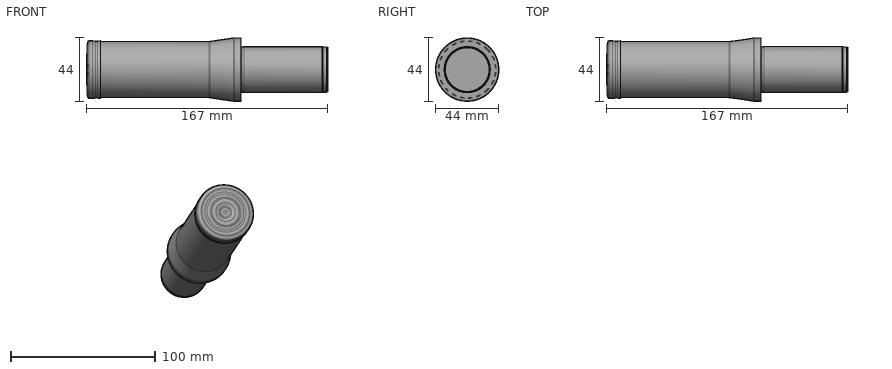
import cadquery as cq
import math

total_length = 167.0
shank_length = 60.0
flange_back = total_length - shank_length

cutting_radius = 40.0 / 2
head_length = 9.6
rim_setback = 0.25
bevel_inner_radius = 17.2
bevel_angle = math.radians(15.5)
corner_radius = 0.9

waist_depth = 0.2
waist_radius = cutting_radius - waist_depth
waist_start = 4.1
waist_floor_start = 6.1
waist_floor_end = 7.6

groove_outer_radius = 16.6
groove_floor_outer_radius = 14.4
groove_floor_outer_depth = 0.43
groove_floor_inner_radius = 12.9
groove_floor_inner_depth = 0.39
groove_mid_radius = (groove_floor_outer_radius + groove_floor_inner_radius) / 2
groove_mid_depth = 0.45
groove_inner_radius = 10.8
groove_inner_depth = 0.11

face_outer_radius = 9.65
face_edge_bevel_width = 0.3
face_edge_bevel_depth = 0.07
recess_mouth_radius = 6.8
recess_cone_radius = 4.4
recess_floor_radius = 3.4
recess_centre_radius = 1.15
recess_cone_depth = 0.67
recess_floor_depth = 0.81
recess_centre_depth = 0.95

neck_radius = 39.0 / 2
flange_radius = 44.0 / 2
flare_start = 85.0
flare_end = 102.0
flare_blend_radius = 5.0
flange_edge_radius = 0.5

shank_radius = 32.0 / 2
relief_radius = 31.5 / 2
relief_neck_length = 0.7
relief_length = 1.8
tail_band_length = 4.0
tail_band_start = total_length - tail_band_length
tail_band_taper = 0.7
shank_chamfer_length = 0.9
shank_chamfer_depth = 0.6


def revolve_about_x(profile):
    return profile.close().revolve(360, (0, 0, 0), (1, 0, 0))


def make_cutting_head():
    corner_centre_radius = cutting_radius - corner_radius
    bevel_outer_radius = corner_centre_radius + corner_radius * math.sin(bevel_angle)
    bevel_end = rim_setback + (bevel_outer_radius - bevel_inner_radius) * math.tan(bevel_angle)
    corner_end = bevel_end + corner_radius * math.cos(bevel_angle)
    corner_mid_angle = (bevel_angle + math.pi / 2) / 2
    corner_mid = (
        corner_end - corner_radius * math.cos(corner_mid_angle),
        corner_centre_radius + corner_radius * math.sin(corner_mid_angle),
    )
    profile = (
        cq.Workplane("XZ")
        .moveTo(head_length, 0)
        .lineTo(recess_centre_depth, 0)
        .lineTo(recess_centre_depth, recess_centre_radius)
        .lineTo(recess_floor_depth, recess_floor_radius)
        .lineTo(recess_cone_depth, recess_cone_radius)
        .lineTo(0, recess_mouth_radius)
        .lineTo(0, face_outer_radius)
        .lineTo(face_edge_bevel_depth, face_outer_radius + face_edge_bevel_width)
        .lineTo(groove_inner_depth, groove_inner_radius)
        .lineTo(groove_floor_inner_depth, groove_floor_inner_radius)
        .threePointArc(
            (groove_mid_depth, groove_mid_radius),
            (groove_floor_outer_depth, groove_floor_outer_radius),
        )
        .lineTo(rim_setback, groove_outer_radius)
        .lineTo(rim_setback, bevel_inner_radius)
        .lineTo(bevel_end, bevel_outer_radius)
        .threePointArc(corner_mid, (corner_end, cutting_radius))
        .lineTo(waist_start, cutting_radius)
        .lineTo(waist_floor_start, waist_radius)
        .lineTo(waist_floor_end, waist_radius)
        .lineTo(head_length, cutting_radius)
    )
    return revolve_about_x(profile)


def make_holder():
    flare_angle = math.atan2(flange_radius - neck_radius, flare_end - flare_start)
    blend_length = flare_blend_radius * math.tan(flare_angle / 2)
    blend_run = blend_length * math.cos(flare_angle)
    blend_rise = blend_length * math.sin(flare_angle)
    blend_sag = flare_blend_radius - math.sqrt(flare_blend_radius**2 - blend_length**2)

    profile = (
        cq.Workplane("XZ")
        .moveTo(head_length, 0)
        .lineTo(head_length, neck_radius)
        .lineTo(flare_start - blend_length, neck_radius)
        .threePointArc(
            (flare_start, neck_radius + blend_sag),
            (flare_start + blend_run, neck_radius + blend_rise),
        )
        .lineTo(flare_end - blend_run, flange_radius - blend_rise)
        .threePointArc(
            (flare_end, flange_radius - blend_sag),
            (flare_end + blend_length, flange_radius),
        )
        .lineTo(flange_back - flange_edge_radius, flange_radius)
        .radiusArc((flange_back, flange_radius - flange_edge_radius), flange_edge_radius)
        .lineTo(flange_back, relief_radius)
        .lineTo(flange_back + relief_neck_length, relief_radius)
        .lineTo(flange_back + relief_length, shank_radius)
        .lineTo(tail_band_start, shank_radius)
        .lineTo(tail_band_start + tail_band_taper, relief_radius)
        .lineTo(total_length - shank_chamfer_length, relief_radius)
        .lineTo(total_length, relief_radius - shank_chamfer_depth)
        .lineTo(total_length, 0)
    )
    return revolve_about_x(profile)


cutting_head = make_cutting_head()
holder = make_holder()
result = cq.Compound.makeCompound([cutting_head.val(), holder.val()])